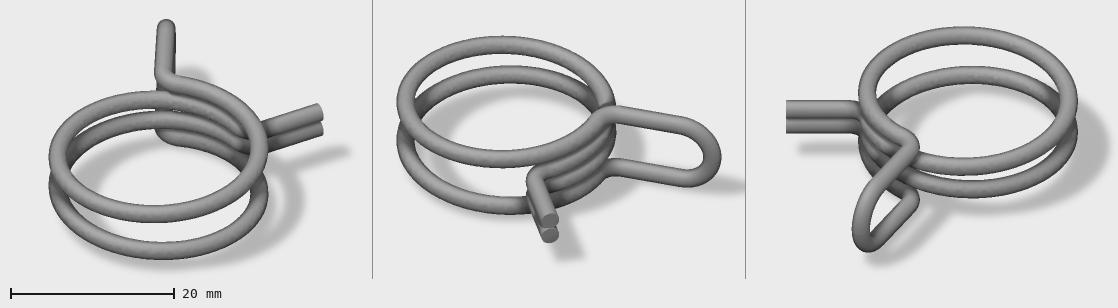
import cadquery as cq
import math


overall_length = 37.22
overall_height = 10.3

wire_diameter = 2.25
coil_radius = 12.32
coil_start_angle = 70
coil_end_angle = 360 + 110

tail_height = 1.15
leg_height = (overall_height - wire_diameter) / 2

bend_radius = 2.55
tail_angle = 60
leg_angle = 120
tail_length = 7.55

coil_sweep = coil_end_angle - coil_start_angle
coil_rise = leg_height - tail_height
coil_pitch = coil_rise * 360 / coil_sweep


def polar(length, angle, height=0):
    """Point at a distance and a direction in degrees from the Z axis."""
    turn = math.radians(angle)
    return cq.Vector(length * math.cos(turn), length * math.sin(turn), height)


def outward_bend(coil_angle, straight_angle, height, side):
    """Start, middle and end of the arc leaving the coil; side is +1 at the leg and -1 at the tail."""
    center = polar(coil_radius + bend_radius, coil_angle, height)
    start_angle = coil_angle + side * 180
    end_angle = straight_angle + side * 90
    middle_angle = (start_angle + end_angle) / 2
    return [center + polar(bend_radius, angle) for angle in (start_angle, middle_angle, end_angle)]


coil_start, tail_bend_middle, tail_start = outward_bend(coil_start_angle, tail_angle, tail_height, -1)
tail_tip = tail_start + polar(tail_length, tail_angle)
tail = cq.Edge.makeLine(tail_tip, tail_start)
tail_bend = cq.Edge.makeThreePointArc(tail_start, tail_bend_middle, coil_start)

helix = cq.Wire.makeHelix(coil_pitch, coil_rise, coil_radius)
helix = helix.rotate(cq.Vector(0, 0, 0), cq.Vector(0, 0, 1), coil_start_angle)
coil = helix.translate(cq.Vector(0, 0, tail_height)).Edges()[0]

coil_end, leg_bend_middle, leg_start = outward_bend(coil_end_angle - 360, leg_angle, leg_height, 1)
loop_tip_y = overall_length - coil_radius - wire_diameter
leg_and_loop_length = (loop_tip_y - leg_start.y) / math.sin(math.radians(leg_angle))
leg_length = leg_and_loop_length - leg_height
leg_end = leg_start + polar(leg_length, leg_angle)
leg_bend = cq.Edge.makeThreePointArc(coil_end, leg_bend_middle, leg_start)
leg = cq.Edge.makeLine(leg_start, leg_end)

loop_center = cq.Vector(leg_end.x, leg_end.y, 0)
loop_diagonal = leg_height * math.sqrt(0.5)
loop_middle = loop_center + polar(loop_diagonal, leg_angle, loop_diagonal)
loop_end = loop_center + polar(leg_height, leg_angle)
loop = cq.Edge.makeThreePointArc(leg_end, loop_middle, loop_end)

centreline = cq.Wire.assembleEdges([tail, tail_bend, coil, leg_bend, leg, loop])
tail_plane = cq.Plane(tail_tip, normal=tail.tangentAt(0))
wire_section = cq.Workplane(tail_plane).circle(wire_diameter / 2)
upper_half = wire_section.sweep(cq.Workplane(centreline), isFrenet=True, transition="transformed")

result = upper_half.union(upper_half.mirror("XY"))